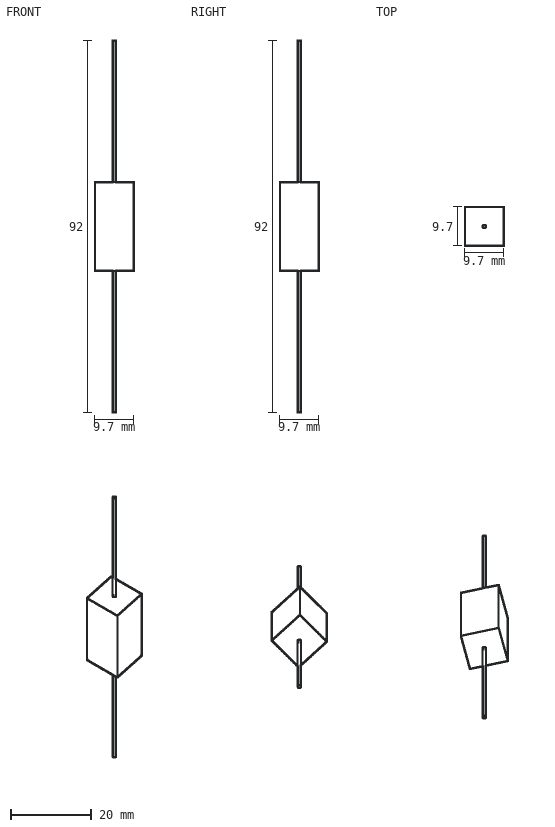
import cadquery as cq

TOTAL_LENGTH = 92.0
BODY_WIDTH = 9.7
BODY_LENGTH = 22.0
LEAD_DIAMETER = 0.8
LEAD_LENGTH = (TOTAL_LENGTH - BODY_LENGTH) / 2


def make_body():
    """Square block centred on the origin."""
    return cq.Workplane("XY").box(BODY_WIDTH, BODY_WIDTH, BODY_LENGTH)


def make_lead(direction):
    """Round wire from one end face of the block; direction is +1 (up) or -1 (down)."""
    end_face_z = direction * BODY_LENGTH / 2
    return (
        cq.Workplane("XY", origin=(0, 0, end_face_z))
        .circle(LEAD_DIAMETER / 2)
        .extrude(direction * LEAD_LENGTH)
    )


body = make_body()
leads = [make_lead(direction) for direction in (1, -1)]

result = cq.Compound.makeCompound([body.val(), *[lead.val() for lead in leads]])